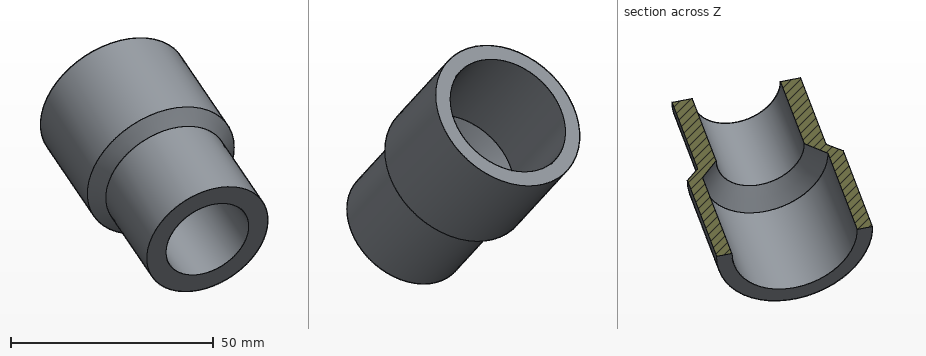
import cadquery as cq

total_length = 55.0
socket_length = 27.6
shoulder_length = 3.3
socket_outer_diameter = 40.0
spigot_outer_diameter = 33.0
socket_bore_diameter = 32.0
spigot_bore_diameter = 22.5

shoulder_end = socket_length + shoulder_length
bore_cone_end = socket_length + (socket_bore_diameter - spigot_bore_diameter) / 2


def revolve_about_x(profile_points):
    """Revolve a closed (x, radius) outline about the X axis."""
    return cq.Workplane("XY").polyline(profile_points).close().revolve(360, (0, 0, 0), (1, 0, 0))


body = revolve_about_x([
    (0, 0),
    (0, socket_outer_diameter / 2),
    (socket_length, socket_outer_diameter / 2),
    (shoulder_end, spigot_outer_diameter / 2),
    (total_length, spigot_outer_diameter / 2),
    (total_length, 0),
])

bore = revolve_about_x([
    (0, 0),
    (0, socket_bore_diameter / 2),
    (socket_length, socket_bore_diameter / 2),
    (bore_cone_end, spigot_bore_diameter / 2),
    (total_length, spigot_bore_diameter / 2),
    (total_length, 0),
])

result = body.cut(bore)